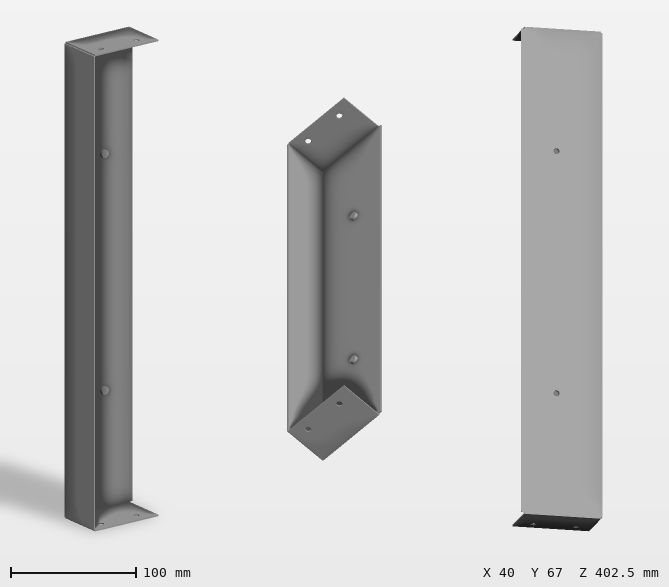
import cadquery as cq

WIDTH = 40.0
DEPTH = 67.0
HEIGHT = 402.5
SHEET = 1.2
BEND_RADIUS = 0.2

STRIP_WIDTH = 3.0
STRIP_SETBACK = 1.5
FLANGE_END = DEPTH - STRIP_WIDTH

MOUNT_RADIUS = 2.5
MOUNT_X = 30.0
MOUNT_FIRST_Y = 14.0
MOUNT_PITCH = 35.0
MOUNT_POSITIONS = [(MOUNT_X, MOUNT_FIRST_Y), (MOUNT_X, MOUNT_FIRST_Y + MOUNT_PITCH)]

INSERT_RADIUS = 3.42
INSERT_LENGTH = 4.0
BORE_RADIUS = 2.5
BORE_DEPTH = 2.0
INSERT_Y = 38.0
INSERT_PITCH = 200.0
INSERT_POSITIONS = [(INSERT_Y, (HEIGHT + side * INSERT_PITCH) / 2) for side in (-1, 1)]


def block(start, end):
    """Box between two opposite corners."""
    size = [b - a for a, b in zip(start, end)]
    return cq.Workplane("XY").box(*size, centered=False).translate(start)


def make_back_wall():
    """Wall on -X, with its +Y strip set back at both ends."""
    wall = block((0, 0, SHEET), (SHEET, FLANGE_END, HEIGHT - SHEET))
    strip = block((0, FLANGE_END, STRIP_SETBACK), (SHEET, DEPTH, HEIGHT - STRIP_SETBACK))
    return wall.union(strip)


def make_side_wall():
    """Wall on -Y, one sheet thickness short of each end."""
    return block((0, 0, SHEET), (WIDTH, SHEET, HEIGHT - SHEET))


def make_end_flange(bottom):
    """Flange with mounting holes, from the side wall to the strip of the back wall."""
    flange = block((0, SHEET, bottom), (WIDTH, FLANGE_END, bottom + SHEET))
    holes = (
        cq.Workplane("XY")
        .workplane(offset=bottom)
        .pushPoints(MOUNT_POSITIONS)
        .circle(MOUNT_RADIUS)
        .extrude(SHEET)
    )
    return flange.cut(holes)


def round_flange_bends(cover):
    """Round the outer edges where the end flanges fold from the back wall."""
    middle_y = (SHEET + FLANGE_END) / 2
    for z in (0, HEIGHT):
        bend_edge = cq.selectors.NearestToPointSelector((0, middle_y, z))
        cover = cover.edges(bend_edge).fillet(BEND_RADIUS)
    return cover


def make_cover():
    cover = make_back_wall().union(make_side_wall())
    for bottom in (0, HEIGHT - SHEET):
        cover = cover.union(make_end_flange(bottom))
    cover = round_flange_bends(cover)
    insert_holes = (
        cq.Workplane("YZ").pushPoints(INSERT_POSITIONS).circle(INSERT_RADIUS).extrude(SHEET)
    )
    return cover.cut(insert_holes)


def make_insert(y, z):
    """Round insert along X with a blind bore open on the -X face."""
    axis = cq.Workplane("YZ").center(y, z)
    bore = axis.circle(BORE_RADIUS).extrude(BORE_DEPTH)
    return axis.circle(INSERT_RADIUS).extrude(INSERT_LENGTH).cut(bore)


cover = make_cover()
inserts = [make_insert(y, z) for y, z in INSERT_POSITIONS]

result = cq.Compound.makeCompound([cover.val(), *[insert.val() for insert in inserts]])